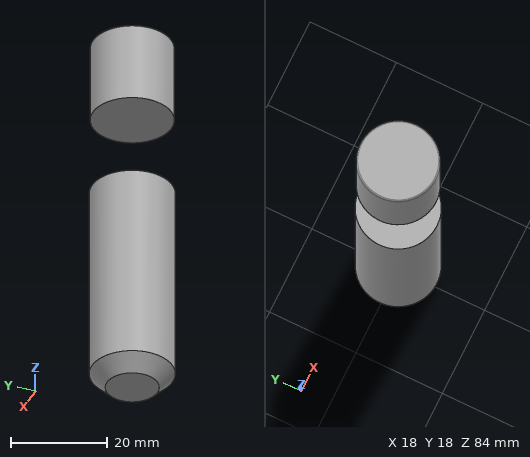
import cadquery as cq

total_height = 84.0

pin_diameter = 18.0
pin_length = 48.0
pin_chamfer = 3.4

cap_diameter = 17.55
cap_length = 18.0
cap_edge_fillet = 0.3


def make_pin():
    """Round pin standing on Z = 0 with a conical lead-in at its lower end."""
    radius = pin_diameter / 2
    tip_radius = radius - pin_chamfer
    return (
        cq.Workplane("XZ")
        .moveTo(0, 0)
        .lineTo(tip_radius, 0)
        .lineTo(radius, pin_chamfer)
        .lineTo(radius, pin_length)
        .lineTo(0, pin_length)
        .close()
        .revolve(360, (0, 0), (0, 1))
    )


def make_cap():
    """Short cylinder ending at the full height, with its upper rim rounded."""
    return (
        cq.Workplane("XY", origin=(0, 0, total_height - cap_length))
        .circle(cap_diameter / 2)
        .extrude(cap_length)
        .faces(">Z")
        .edges()
        .fillet(cap_edge_fillet)
    )


pin = make_pin()
cap = make_cap()

result = cq.Compound.makeCompound([pin.val(), cap.val()])